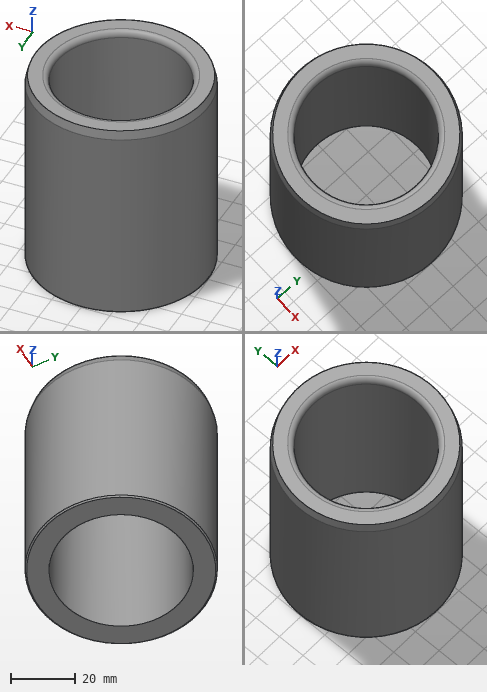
import cadquery as cq
import math

OUTER_DIAMETER = 60.0
BORE_DIAMETER = 45.0
LENGTH = 70.0
LEAD_IN_LENGTH = 3.0
LEAD_IN_ANGLE = 15.0
BOTTOM_CHAMFER = 0.5
BORE_MOUTH_RADIUS = 2.0

OUTER_RADIUS = OUTER_DIAMETER / 2
BORE_RADIUS = BORE_DIAMETER / 2
LEAD_IN_DEPTH = LEAD_IN_LENGTH * math.tan(math.radians(LEAD_IN_ANGLE))


def make_sleeve():
    """Tube on the Z axis with a tapered lead-in on top and a chamfered bottom edge."""
    half_section = (
        cq.Workplane("XZ")
        .moveTo(BORE_RADIUS, 0)
        .lineTo(OUTER_RADIUS - BOTTOM_CHAMFER, 0)
        .lineTo(OUTER_RADIUS, BOTTOM_CHAMFER)
        .lineTo(OUTER_RADIUS, LENGTH - LEAD_IN_LENGTH)
        .lineTo(OUTER_RADIUS - LEAD_IN_DEPTH, LENGTH)
        .lineTo(BORE_RADIUS, LENGTH)
        .close()
    )
    return half_section.revolve(360, (0, 0, 0), (0, 1, 0))


def round_bore_mouth(sleeve):
    """Round the entry at the top of the bore."""
    bore_mouth = cq.selectors.RadiusNthSelector(0)
    return sleeve.faces(">Z").edges(bore_mouth).fillet(BORE_MOUTH_RADIUS)


result = round_bore_mouth(make_sleeve())